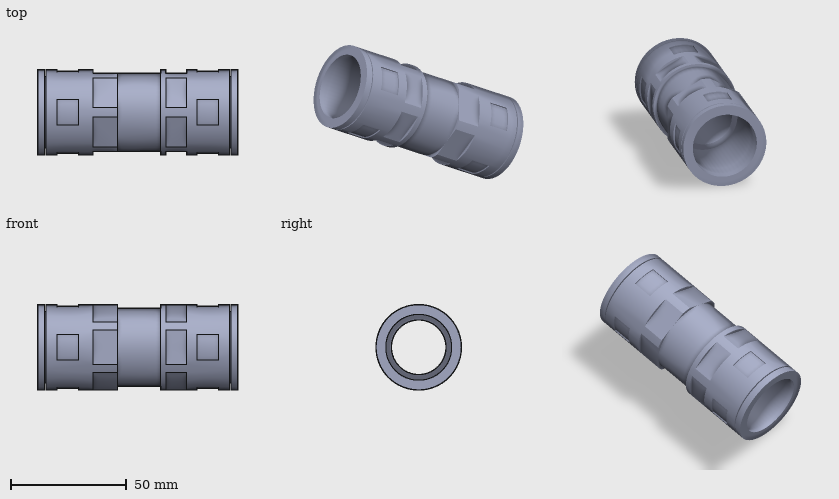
import cadquery as cq


length = 86.5
body_diameter = 37.0
neck_diameter = 33.9
left_end = -length / 2
right_end = length / 2
neck_start = left_end + 34.5
neck_end = left_end + 53.1

groove_diameter = 31.0
groove_width = 0.5
end_collar_width = 3.0

socket_diameter = 28.5
passage_diameter = 23.5

window_length = 9.25
window_width = 10.9
window_floor_diameter = 35.8
window_end_distance = 8.45
window_count = 4
window_spacing_angle = 360 / window_count

flats_across = neck_diameter
hex_sides = 6
left_flats_start = left_end + 23.95
right_flats_start = left_end + 55.45
right_flats_length = 8.95


def cylinder(diameter, start, span):
    """Round bar along X from x = start."""
    return cq.Workplane("YZ", origin=(start, 0, 0)).circle(diameter / 2).extrude(span)


def ring(inner_diameter, start, span):
    """Ring along X that reaches from inner_diameter out to the body surface."""
    return cylinder(body_diameter, start, span).cut(cylinder(inner_diameter, start, span))


def flats_cutter(start, span):
    """Material outside a hexagon that has two flats facing -Y and +Y."""
    hexagon = (
        cq.Workplane("YZ", origin=(start, 0, 0))
        .polygon(hex_sides, flats_across, circumscribed=True)
        .extrude(span)
    )
    return cylinder(body_diameter, start, span).cut(hexagon)


def window_cutter(start, angle):
    """Straight-sided window, turned about X from the +Z side, with a floor concentric with the body."""
    block = (
        cq.Workplane("XY")
        .box(window_length, window_width, body_diameter / 2, centered=(False, True, False))
        .translate((start, 0, 0))
    )
    pocket = block.intersect(ring(window_floor_diameter, start, window_length))
    return pocket.rotate((0, 0, 0), (1, 0, 0), angle)


def paired_starts(end_distance, span):
    """Start positions of a feature at the same distance from both ends."""
    return (left_end + end_distance, right_end - end_distance - span)


result = cylinder(body_diameter, left_end, length)
result = result.cut(ring(neck_diameter, neck_start, neck_end - neck_start))

for groove_start in paired_starts(end_collar_width, groove_width):
    result = result.cut(ring(groove_diameter, groove_start, groove_width))

result = result.cut(flats_cutter(left_flats_start, neck_start - left_flats_start))
result = result.cut(flats_cutter(right_flats_start, right_flats_length))

for window_start in paired_starts(window_end_distance, window_length):
    for index in range(window_count):
        result = result.cut(window_cutter(window_start, index * window_spacing_angle))

result = result.cut(cylinder(passage_diameter, left_end, length))
result = result.cut(cylinder(socket_diameter, left_end, neck_start - left_end))
result = result.cut(cylinder(socket_diameter, neck_end, right_end - neck_end))